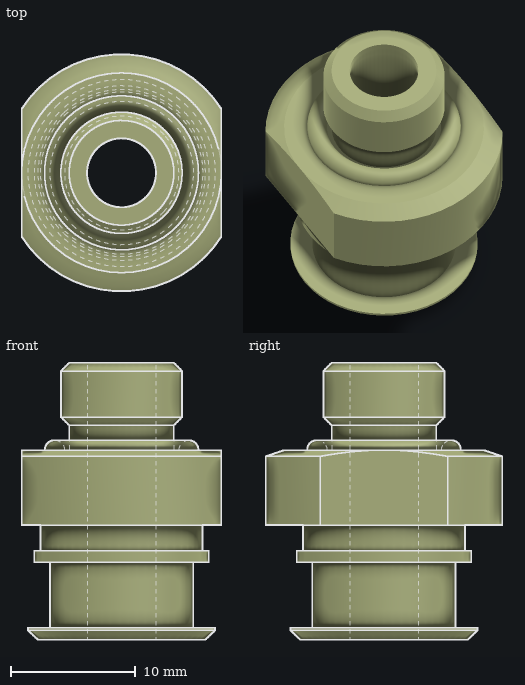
import cadquery as cq

bore_diameter = 5.5
total_height = 22.2

foot_diameter = 15.0
foot_bottom_diameter = 13.4
foot_bevel_top = 0.75
foot_top = 0.98
plug_diameter = 11.5
collar_diameter = 14.0
collar_bottom = 6.22
collar_top = 7.15
shoulder_diameter = 13.0

body_diameter = 19.0
flat_width = 16.0
body_bottom = 9.2
body_bevel_bottom = 14.7
body_top = 15.2

neck_diameter = 8.4
thread_diameter = 9.72
thread_bottom = 17.18
thread_chamfer = (thread_diameter - neck_diameter) / 2

ring_outer_diameter = 12.35
ring_section_diameter = 1.6
ring_top = 16.0


def disc(diameter, bottom, top):
    """Cylinder about Z between two heights."""
    return cq.Workplane("XY").workplane(offset=bottom).circle(diameter / 2).extrude(top - bottom)


def make_plug():
    foot_bevel = (
        cq.Workplane("XY")
        .circle(foot_bottom_diameter / 2)
        .workplane(offset=foot_bevel_top)
        .circle(foot_diameter / 2)
        .loft(ruled=True)
    )
    return (
        foot_bevel
        .union(disc(foot_diameter, foot_bevel_top, foot_top))
        .union(disc(plug_diameter, foot_top, collar_bottom))
        .union(disc(collar_diameter, collar_bottom, collar_top))
        .union(disc(shoulder_diameter, collar_top, body_bottom))
    )


def make_body():
    bevel_height = body_top - body_bevel_bottom
    bevel_width = (body_diameter - flat_width) / 2
    body = disc(body_diameter, body_bottom, body_top)
    body = body.faces(">Z").chamfer(bevel_height, bevel_width)
    flats = (
        cq.Workplane("XY")
        .workplane(offset=body_bottom)
        .rect(flat_width, body_diameter)
        .extrude(body_top - body_bottom)
    )
    return body.intersect(flats)


def make_threaded_end():
    thread = disc(thread_diameter, thread_bottom, total_height).edges().chamfer(thread_chamfer)
    return thread.union(disc(neck_diameter, body_top, thread_bottom))


def make_seal_ring():
    section_radius = ring_section_diameter / 2
    centre_radius = ring_outer_diameter / 2 - section_radius
    return (
        cq.Workplane("XZ")
        .moveTo(centre_radius, ring_top - section_radius)
        .circle(section_radius)
        .revolve(360, (0, 0), (0, 1))
    )


result = (
    make_plug()
    .union(make_body())
    .union(make_threaded_end())
    .union(make_seal_ring())
    .cut(disc(bore_diameter, 0, total_height))
)